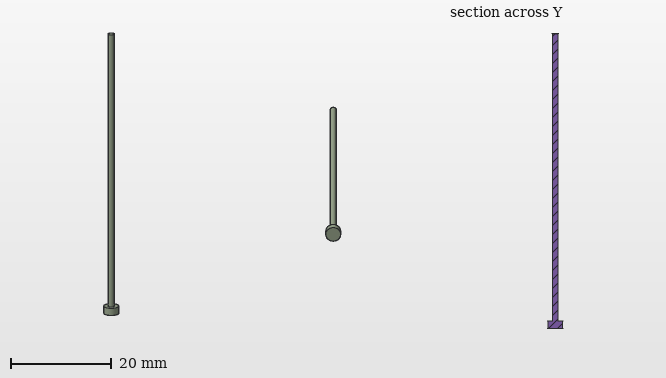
import cadquery as cq

total_length = 58.5
head_diameter = 3.0
head_height = 1.5
shank_diameter = 1.3

head = cq.Workplane("XY").circle(head_diameter / 2).extrude(head_height)
shank = cq.Workplane("XY").circle(shank_diameter / 2).extrude(total_length)

result = head.union(shank)